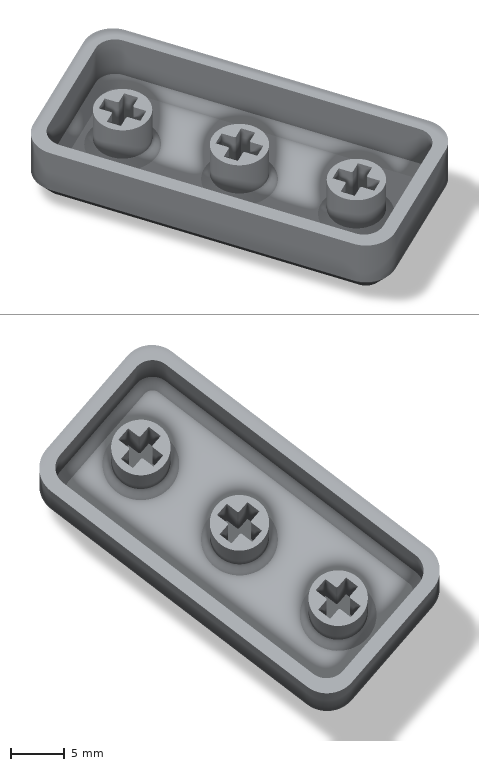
import cadquery as cq

length = 37.1
width = 18.05
height = 6.7
corner_radius = 3.0
base_chamfer_rise = 1.9
base_chamfer_inset = 1.5

wall = 1.37
floor_height = 1.2
pocket_corner_radius = 2.0
pocket_chamfer = 1.0

post_diameter = 5.6
post_top = 5.7
post_spacing = 12.0
post_flare = 0.8
cross_length_x = 4.25
cross_length_y = 4.15
cross_arm_width = 1.45
cross_corner_radius = 0.2
cross_depth = post_top - floor_height


def chamfered_block(size_x, size_y, bottom, top, radius, rise, inset):
    """Rounded rectangular block whose lower edge is chamfered."""
    block = (
        cq.Workplane("XY", origin=(0, 0, bottom))
        .rect(size_x, size_y)
        .extrude(top - bottom)
        .edges("|Z")
        .fillet(radius)
    )
    return block.faces("<Z").chamfer(rise, inset)


def make_post(x):
    """Round post with a conical flare where it meets the floor."""
    radius = post_diameter / 2
    profile = [
        (0, 0),
        (radius + post_flare, 0),
        (radius + post_flare, floor_height),
        (radius, floor_height + post_flare),
        (radius, post_top),
        (0, post_top),
    ]
    post = cq.Workplane("XZ").polyline(profile).close().revolve(360, (0, 0), (0, 1))
    return post.translate((x, 0, 0))


def make_cross(x):
    """Cross-shaped socket cutter with rounded inner corners."""
    plane = cq.Workplane("XY", origin=(x, 0, post_top - cross_depth))
    cross = plane.rect(cross_length_x, cross_arm_width).extrude(cross_depth)
    cross = cross.union(plane.rect(cross_arm_width, cross_length_y).extrude(cross_depth))
    inner_corners = cq.selectors.BoxSelector(
        (x - cross_arm_width, -cross_arm_width, 0),
        (x + cross_arm_width, cross_arm_width, post_top),
    )
    return cross.edges("|Z").edges(inner_corners).fillet(cross_corner_radius)


body = chamfered_block(
    length, width, 0, height, corner_radius, base_chamfer_rise, base_chamfer_inset
)
pocket = chamfered_block(
    length - 2 * wall,
    width - 2 * wall,
    floor_height,
    height,
    pocket_corner_radius,
    pocket_chamfer,
    pocket_chamfer,
)
result = body.cut(pocket)

post_positions = [-post_spacing, 0, post_spacing]
for post_x in post_positions:
    result = result.union(make_post(post_x)).cut(make_cross(post_x))